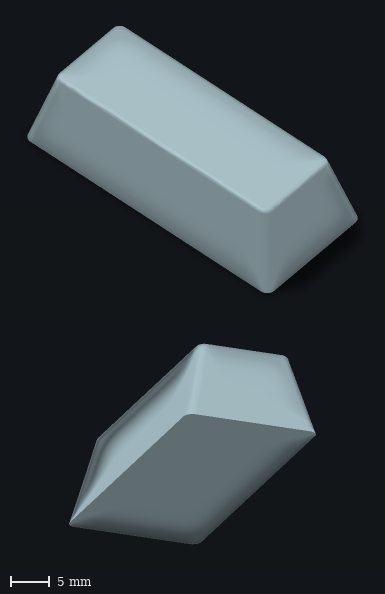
import cadquery as cq
import math

length = 42.1
width = 18.3
height = 11.4

draft_angle = 14.0
corner_radius = 1.25
top_edge_radius = 0.6


def tapered_block():
    """Rectangular block on Z = 0 whose walls lean inward toward the top."""
    inset = height * math.tan(math.radians(draft_angle))
    return (
        cq.Workplane("XY")
        .rect(length, width)
        .workplane(offset=height)
        .rect(length - 2 * inset, width - 2 * inset)
        .loft(ruled=True)
    )


def round_edges(block):
    """Round the four sloping corners, then the rim of the top face."""
    rounded_corners = block.edges("not(#Z)").fillet(corner_radius)
    return rounded_corners.faces(">Z").edges().fillet(top_edge_radius)


result = round_edges(tapered_block())